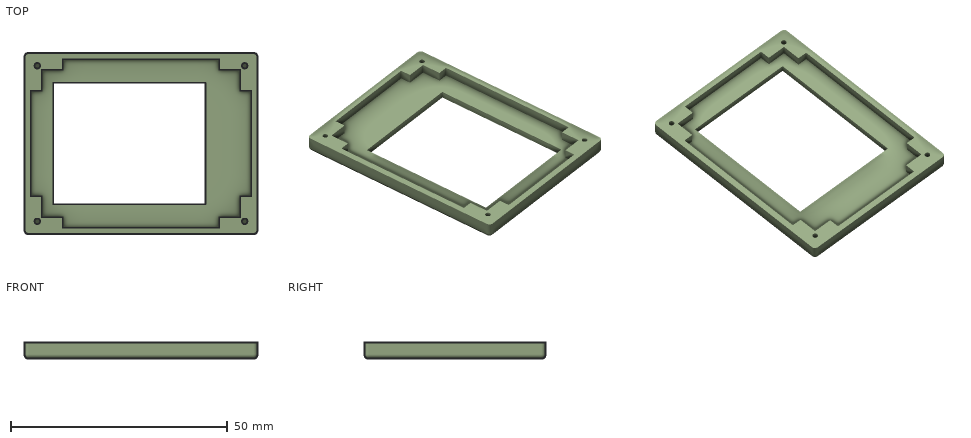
import cadquery as cq

LENGTH = 53.97
WIDTH = 41.97
HEIGHT = 3.8
EDGE_RADIUS = 1.0

FLOOR_THICKNESS = 1.6
RECESS_LENGTH = 51.1
RECESS_WIDTH = 39.0
RECESS_DEPTH = HEIGHT - FLOOR_THICKNESS

POST_GAP_X = 36.2
POST_GAP_Y = 24.4
POST_NOTCH = 4.85

WINDOW_LENGTH = 35.15
WINDOW_WIDTH = 28.1
WINDOW_CENTER_X = -2.7

HOLE_DIAMETER = 1.3
HOLE_SPACING_X = 48.0
HOLE_SPACING_Y = 36.0
HOLE_DEPTH = RECESS_DEPTH


def make_body():
    """Plate with rounded corners and a rounded bottom edge."""
    plate = cq.Workplane("XY").box(LENGTH, WIDTH, HEIGHT, centered=(True, True, False))
    return plate.edges("|Z").fillet(EDGE_RADIUS).faces("<Z").edges().fillet(EDGE_RADIUS)


def make_recess():
    """Recess made of three overlapping blocks, leaving a notched post in each corner."""
    footprints = [
        (RECESS_LENGTH, POST_GAP_Y),
        (POST_GAP_X, RECESS_WIDTH),
        (POST_GAP_X + 2 * POST_NOTCH, POST_GAP_Y + 2 * POST_NOTCH),
    ]
    floor = cq.Workplane("XY").workplane(offset=FLOOR_THICKNESS)
    recess = cq.Workplane("XY")
    for length, width in footprints:
        recess = recess.union(floor.rect(length, width).extrude(RECESS_DEPTH))
    return recess


def make_window():
    """Rectangular opening through the floor."""
    outline = cq.Workplane("XY").center(WINDOW_CENTER_X, 0).rect(WINDOW_LENGTH, WINDOW_WIDTH)
    return outline.extrude(HEIGHT)


def make_screw_holes():
    """One blind hole in each corner post."""
    top = cq.Workplane("XY").workplane(offset=HEIGHT)
    centers = top.rect(HOLE_SPACING_X, HOLE_SPACING_Y, forConstruction=True).vertices()
    return centers.circle(HOLE_DIAMETER / 2).extrude(-HOLE_DEPTH)


result = make_body().cut(make_recess()).cut(make_window()).cut(make_screw_holes())